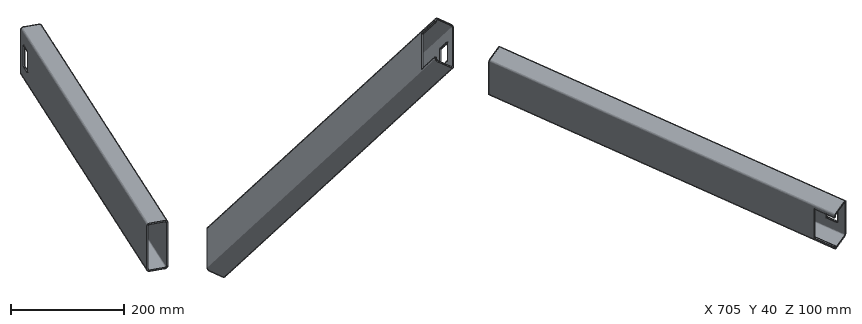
import cadquery as cq

LENGTH = 705.0
DEPTH = 40.0
HEIGHT = 100.0
WALL = 3.0
OUTER_RADIUS = 6.0
INNER_RADIUS = OUTER_RADIUS - WALL

WINDOW_SETBACK = 15.0
WINDOW_WIDTH = 24.0
WINDOW_HEIGHT = 44.0
WINDOW_CORNER_RADIUS = 1.5

LIP_HEIGHT = 9.0
NOTCH_LENGTH = 42.0
NOTCH_HEIGHT = HEIGHT - 2 * LIP_HEIGHT

FRONT = -1
BACK = 1


def rounded_bar(depth, height, radius):
    """Solid bar along +X from X = 0 with its four long edges rounded."""
    bar = cq.Workplane("YZ").rect(depth, height).extrude(LENGTH)
    return bar.edges("|X").fillet(radius)


def wall_cutter(start, length, height, side):
    """Box that opens one Y wall from X = start, reaching halfway to the tube's centre plane."""
    cutter_depth = DEPTH / 2
    box = cq.Workplane("XY").box(length, cutter_depth, height, centered=(False, True, True))
    return box.translate((start, side * DEPTH / 2, 0))


def make_tube():
    """Hollow tube with concentric inner and outer corner rounds."""
    outside = rounded_bar(DEPTH, HEIGHT, OUTER_RADIUS)
    inside = rounded_bar(DEPTH - 2 * WALL, HEIGHT - 2 * WALL, INNER_RADIUS)
    return outside.cut(inside)


def make_window():
    """Cutter for the round-cornered window in the front wall."""
    cutter = wall_cutter(WINDOW_SETBACK, WINDOW_WIDTH, WINDOW_HEIGHT, FRONT)
    return cutter.edges("|Y").fillet(WINDOW_CORNER_RADIUS)


def make_notch():
    """Cutter for the open-ended notch in the back wall."""
    return wall_cutter(0, NOTCH_LENGTH, NOTCH_HEIGHT, BACK)


result = make_tube().cut(make_window()).cut(make_notch())